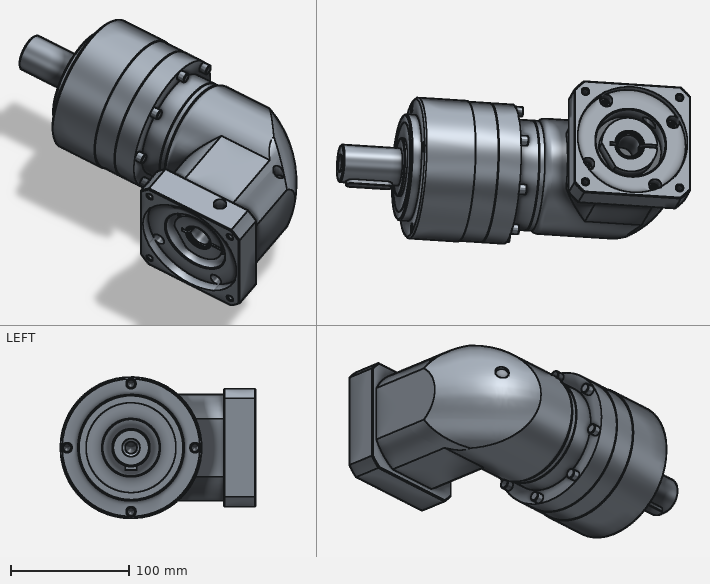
import cadquery as cq
import math


overall_length = 282.0
overall_depth = 165.5
shaft_end_x = -overall_length / 2
joint_chamfer = 0.42
drill_point_angle = 118.0

housing_radius = 59.95
housing_edge_chamfer = 1.7
housing_face_x = shaft_end_x + 61.8
pilot_radius = 45.0
pilot_face_x = shaft_end_x + 53.0
pilot_chamfer = 1.0
seal_radius = 38.0
seal_recess = 0.3
collar_radius = 24.8
collar_face_x = shaft_end_x + 50.8
collar_chamfer = 0.8
shaft_radius = 16.0
shaft_chamfer = 1.0
center_hole_radius = 5.0
center_hole_mouth_radius = 7.5
center_hole_depth = 22.5
key_width = 10.0
key_length = 40.0
key_start = 5.0
key_top = 19.2
key_depth = 8.0
key_chamfer = 0.42
mount_hole_count = 4
mount_circle_radius = 54.2
mount_hole_radius = 3.5
mount_hole_mouth_radius = 4.2
mount_hole_depth = 14.0

ring_start_x = shaft_end_x + 105.8
ring_radius = 59.2
rear_start_x = shaft_end_x + 125.5
rear_end_x = shaft_end_x + 145.0
neck_radius = 46.8
neck_end_x = shaft_end_x + 163.0
bolt_count = 8
bolt_circle_radius = 54.7
bolt_first_angle = 12.3
bolt_head_radius = 4.2
bolt_head_height = 6.8
bolt_head_chamfer = 0.5

adapter_side = 100.1
adapter_face_y = housing_radius - overall_depth
adapter_thickness = 27.0
adapter_back_y = adapter_face_y + adapter_thickness
adapter_corner_radius = 65.2
adapter_edge_chamfer = 0.8
input_x = overall_length / 2 - adapter_side / 2
motor_pilot_radius = 47.5
motor_pilot_depth = 8.2
adapter_bore_radius = 30.0
adapter_bore_chamfer = 0.8
motor_hole_offset = 40.5
motor_hole_radius = 2.5
motor_hole_mouth_radius = 3.5
motor_hole_depth = 17.0
screw_count = 4
screw_circle_radius = 42.3
screw_first_angle = 30.0
screw_pocket_radius = 5.5
screw_pocket_floor_y = adapter_face_y + 19.5
screw_hole_depth = 4.2
screw_hole_radius = 2.8
screw_hole_mouth_radius = 3.7
access_x = input_x + 18.0
access_y = adapter_face_y + 19.2
access_radius = 5.5

elbow_radius = 49.0
elbow_start_x = shaft_end_x + 167.8
elbow_edge_radius = 6.0
input_arm_radius = 51.3
input_arm_half_width = 45.0
crown_height = 31.0
crown_length_radius = 112.8
crown_width_radius = 73.3
crown_half_length = 70.5
plug_hole_radius = 6.0
plug_hole_along = -16.6
plug_hole_z = 15.5
plug_hole_floor = 22.5
side_hole_x = input_x + 34.5
side_hole_y = -21.2
side_hole_radius = 4.5
side_hole_bottom_z = 28.2

hub_radius = 24.0
hub_face_y = adapter_face_y + 13.0
hub_flat_distance = 21.0
hub_flat_angle = 210.0
hub_bore_radius = 9.5
hub_bore_mouth_radius = 10.7
hub_counterbore_radius = 11.8
hub_counterbore_mouth_radius = 12.7
hub_counterbore_depth = 1.7
hub_bore_depth = 33.9
hub_slit_width = 2.8
hub_slit_depth = 11.3
hub_relief_reach = 16.6
clamp_screw_radius = 3.5
clamp_screw_bottom_z = 8.5


def disc_x(radius, start_x, end_x):
    """Cylinder about the X axis between two X positions."""
    return cq.Workplane("YZ").workplane(offset=start_x).circle(radius).extrude(end_x - start_x)


def disc_y(radius, start_y, end_y):
    """Cylinder about the input axis between two Y positions."""
    plane = cq.Plane(origin=(input_x, start_y, 0), xDir=(1, 0, 0), normal=(0, -1, 0))
    return cq.Workplane(plane).circle(radius).extrude(start_y - end_y)


def polar_points(radius, count, first_angle):
    """Evenly spaced points on a circle."""
    angles = [math.radians(first_angle + i * 360 / count) for i in range(count)]
    return [(radius * math.cos(a), radius * math.sin(a)) for a in angles]


def drill_point(radius, bottom, direction):
    """Conical cutter for the bottom of a drilled hole."""
    height = radius / math.tan(math.radians(drill_point_angle / 2))
    return cq.Workplane(cq.Solid.makeCone(radius, 0, height, cq.Vector(*bottom), cq.Vector(*direction)))


def countersunk_hole(radius, mouth_radius, depth, center, direction):
    """Cutter for a round hole with a 45 degree countersink at its mouth."""
    start = cq.Vector(*center)
    axis = cq.Vector(*direction)
    sink = cq.Solid.makeCone(mouth_radius, radius, mouth_radius - radius, start, axis)
    return cq.Workplane(cq.Solid.makeCylinder(radius, depth, start, axis).fuse(sink))


def drilled_hole(radius, mouth_radius, depth, center, direction):
    """Cutter for a countersunk blind hole with a drill point."""
    bottom = (cq.Vector(*center) + cq.Vector(*direction) * depth).toTuple()
    hole = countersunk_hole(radius, mouth_radius, depth, center, direction)
    return hole.union(drill_point(radius, bottom, direction))


def make_key():
    """Round-ended key lying in the shaft, proud on the -Z side."""
    key_middle_x = shaft_end_x + key_start + key_length / 2
    key = (
        cq.Workplane("XY", origin=(key_middle_x, 0, -key_top))
        .slot2D(key_length, key_width)
        .extrude(key_depth)
    )
    return key.faces("<Z").chamfer(key_chamfer)


def make_output_housing():
    """Front housing with its pilot, seal collar, keyed output shaft and mounting holes."""
    housing = disc_x(housing_radius, housing_face_x, ring_start_x)
    housing = housing.faces("<X").chamfer(housing_edge_chamfer)
    housing = housing.faces(">X").chamfer(joint_chamfer)
    pilot = disc_x(pilot_radius, pilot_face_x, housing_face_x).faces("<X").chamfer(pilot_chamfer)
    pilot = pilot.cut(disc_x(seal_radius, pilot_face_x, pilot_face_x + seal_recess))
    collar = disc_x(collar_radius, collar_face_x, housing_face_x).faces("<X").chamfer(collar_chamfer)
    shaft = disc_x(shaft_radius, shaft_end_x, housing_face_x).faces("<X").chamfer(shaft_chamfer)
    housing = housing.union(pilot).union(collar).union(shaft).union(make_key())

    housing = housing.cut(
        drilled_hole(
            center_hole_radius, center_hole_mouth_radius, center_hole_depth, (shaft_end_x, 0, 0), (1, 0, 0)
        )
    )
    for y, z in polar_points(mount_circle_radius, mount_hole_count, 0):
        mouth = (housing_face_x, y, z)
        housing = housing.cut(
            drilled_hole(mount_hole_radius, mount_hole_mouth_radius, mount_hole_depth, mouth, (1, 0, 0))
        )
    return housing


def make_ring_gear():
    """Plain ring between the output housing and the rear flange."""
    return disc_x(ring_radius, ring_start_x, rear_start_x).faces(">X").chamfer(joint_chamfer)


def make_rear_flange():
    """Rear flange with a neck and a circle of bolt heads."""
    flange = disc_x(ring_radius, rear_start_x, rear_end_x).faces("<X").chamfer(joint_chamfer)
    neck = disc_x(neck_radius, rear_end_x, neck_end_x).faces(">X").chamfer(joint_chamfer)
    bolts = (
        cq.Workplane("YZ", origin=(rear_end_x, 0, 0))
        .pushPoints(polar_points(bolt_circle_radius, bolt_count, -bolt_first_angle))
        .circle(bolt_head_radius)
        .extrude(bolt_head_height)
        .faces(">X")
        .chamfer(bolt_head_chamfer)
    )
    return flange.union(neck).union(bolts)


def crown_plane():
    """Plane with x along the crown and y outwards, at 45 degrees between +X and +Y."""
    return cq.Plane(origin=(input_x, 0, 0), xDir=(1, -1, 0), normal=(0, 0, 1))


def make_plug_hole():
    """Cutter for the blind plug hole sunk square to the crown."""
    floor_center = crown_plane().toWorldCoords((plug_hole_along, plug_hole_floor, plug_hole_z))
    return cq.Workplane(
        cq.Solid.makeCylinder(plug_hole_radius, crown_height, floor_center, cq.Vector(1, 1, 0))
    )


def make_crown_cutter():
    """Stock to remove outside the barrel-shaped crown on the outer side of the bend."""
    plane = crown_plane()
    axis_height = crown_height - crown_width_radius
    sag = crown_length_radius - math.sqrt(crown_length_radius**2 - crown_half_length**2)
    barrel = (
        cq.Workplane(plane)
        .moveTo(-crown_half_length, axis_height)
        .lineTo(-crown_half_length, crown_height - sag)
        .threePointArc((0, crown_height), (crown_half_length, crown_height - sag))
        .lineTo(crown_half_length, axis_height)
        .close()
        .revolve(360, (0, axis_height), (1, axis_height))
    )
    stock = cq.Workplane(plane).box(
        2 * crown_half_length, overall_length / 2, overall_length / 2, centered=(True, False, True)
    )
    return stock.cut(barrel)


def make_hub():
    """Slit clamping hub standing out of the input face of the elbow."""
    hub = disc_y(hub_radius, adapter_back_y, hub_face_y)
    flat = (
        cq.Workplane("XY")
        .box(hub_radius, 2 * hub_radius, 2 * hub_radius, centered=(False, True, True))
        .translate((hub_flat_distance, 0, 0))
        .rotate((0, 0, 0), (0, 1, 0), -hub_flat_angle)
        .translate((input_x, hub_face_y, 0))
    )
    clamp_screw_hole = (
        cq.Workplane("XY", origin=(access_x, access_y, clamp_screw_bottom_z))
        .circle(clamp_screw_radius)
        .extrude(hub_radius)
        .union(drill_point(clamp_screw_radius, (access_x, access_y, clamp_screw_bottom_z), (0, 0, -1)))
    )
    slit = cq.Workplane("XY", origin=(input_x, hub_face_y, 0)).box(
        hub_radius, hub_slit_depth, hub_slit_width, centered=(False, False, True)
    )
    relief = cq.Workplane("XY", origin=(input_x - hub_relief_reach, hub_face_y, 0)).box(
        hub_relief_reach, hub_slit_depth, hub_slit_width, centered=(False, False, True)
    )
    return hub.cut(flat).cut(clamp_screw_hole).cut(slit).cut(relief)


def make_elbow():
    """Elbow joining the output arm along X to the input arm along Y, with the clamping hub."""
    spigot = disc_x(neck_radius, neck_end_x, elbow_start_x).faces("<X").chamfer(joint_chamfer)
    output_arm = disc_x(elbow_radius, elbow_start_x, input_x).faces("<X").fillet(elbow_edge_radius)

    arm_block = cq.Workplane("XY", origin=(input_x, 0, 0)).box(
        2 * input_arm_half_width, overall_length, 2 * input_arm_half_width
    )
    input_arm = disc_y(input_arm_radius, 0, adapter_back_y).intersect(arm_block)

    bend = disc_x(elbow_radius, input_x, input_x + input_arm_half_width)
    bend = bend.intersect(disc_y(input_arm_radius, elbow_radius, -elbow_radius))

    elbow = output_arm.union(input_arm).union(bend).cut(make_crown_cutter()).cut(make_plug_hole())
    elbow = elbow.union(spigot).union(make_hub())

    side_hole = (
        cq.Workplane("XY", origin=(side_hole_x, side_hole_y, side_hole_bottom_z))
        .circle(side_hole_radius)
        .extrude(input_arm_radius)
        .union(drill_point(side_hole_radius, (side_hole_x, side_hole_y, side_hole_bottom_z), (0, 0, -1)))
    )
    counterbore = countersunk_hole(
        hub_counterbore_radius,
        hub_counterbore_mouth_radius,
        hub_counterbore_depth,
        (input_x, hub_face_y, 0),
        (0, 1, 0),
    )
    bore_start_y = hub_face_y + hub_counterbore_depth
    shaft_bore = countersunk_hole(
        hub_bore_radius, hub_bore_mouth_radius, hub_bore_depth, (input_x, bore_start_y, 0), (0, 1, 0)
    )
    return elbow.cut(side_hole).cut(counterbore).cut(shaft_bore)


def make_motor_adapter():
    """Square motor plate with turned corners, stepped bore and fixing holes."""
    adapter = cq.Workplane("XZ", origin=(input_x, adapter_back_y, 0))
    adapter = adapter.rect(adapter_side, adapter_side).extrude(adapter_thickness)
    adapter = adapter.intersect(disc_y(adapter_corner_radius, adapter_back_y, adapter_face_y))
    adapter = adapter.faces("<Y or >Y").chamfer(adapter_edge_chamfer)

    recess_floor_y = adapter_face_y + motor_pilot_depth
    adapter = adapter.cut(disc_y(motor_pilot_radius, recess_floor_y, adapter_face_y))
    adapter = adapter.cut(
        countersunk_hole(
            adapter_bore_radius,
            adapter_bore_radius + adapter_bore_chamfer,
            adapter_thickness,
            (input_x, recess_floor_y, 0),
            (0, 1, 0),
        )
    )
    for side_x in (-1, 1):
        for side_z in (-1, 1):
            corner = (input_x + side_x * motor_hole_offset, adapter_face_y, side_z * motor_hole_offset)
            adapter = adapter.cut(
                drilled_hole(motor_hole_radius, motor_hole_mouth_radius, motor_hole_depth, corner, (0, 1, 0))
            )

    screw_points = polar_points(screw_circle_radius, screw_count, screw_first_angle)
    for x, z in screw_points:
        floor = (input_x + x, screw_pocket_floor_y, z)
        pocket = cq.Workplane("XZ", origin=floor).circle(screw_pocket_radius)
        adapter = adapter.cut(pocket.extrude(screw_pocket_floor_y - adapter_face_y))
        adapter = adapter.cut(
            drilled_hole(screw_hole_radius, screw_hole_mouth_radius, screw_hole_depth, floor, (0, 1, 0))
        )

    access_hole = (
        cq.Workplane("XY", origin=(access_x, access_y, 0)).circle(access_radius).extrude(adapter_side)
    )
    return adapter.cut(access_hole)


output_housing = make_output_housing()
ring_gear = make_ring_gear()
rear_flange = make_rear_flange()
elbow = make_elbow()
motor_adapter = make_motor_adapter()

result = cq.Compound.makeCompound(
    [output_housing.val(), ring_gear.val(), rear_flange.val(), elbow.val(), motor_adapter.val()]
)